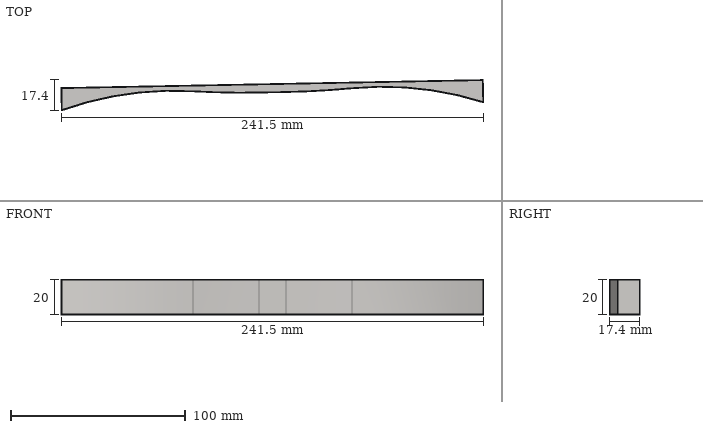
import cadquery as cq

length = 241.3
height = 20.0
tilt_angle = 1.09
end_thickness = 12.8
center_thickness = 4.8
waist_thickness = 3.5
flat_length = 15.2
waist_spacing = 91.0


def half_profile():
    """Open outline from the middle of the front to the middle of the back."""
    half_length = length / 2
    return (
        cq.Workplane("XY")
        .moveTo(0, -center_thickness)
        .lineTo(flat_length / 2, -center_thickness)
        .tangentArcPoint((waist_spacing / 2, -waist_thickness), relative=False)
        .tangentArcPoint((half_length, -end_thickness), relative=False)
        .lineTo(half_length, 0)
        .lineTo(0, 0)
    )


bar = half_profile().mirrorY().extrude(height)
result = bar.rotate((0, 0, 0), (0, 0, 1), tilt_angle)